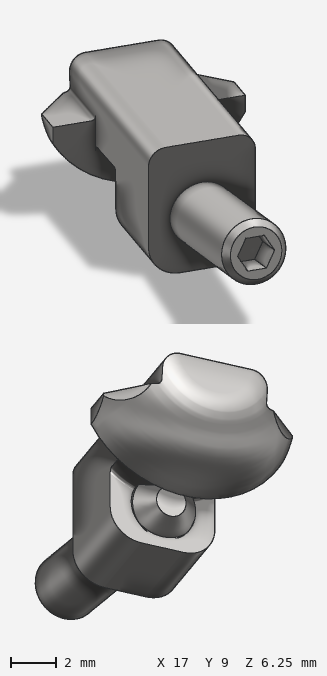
import cadquery as cq
import math


SHANK_LENGTH = 10.0
SHANK_WIDTH = 5.0
SHANK_HEIGHT = 6.25
TOP_EDGE_RADIUS = 0.8
BOTTOM_EDGE_RADIUS = 1.5

HEAD_THICKNESS = 3.4
HEAD_SPAN = 9.0
HEAD_RADIUS = 5.2
HEAD_DEPTH = 5.0
HEAD_AXIS_Z = HEAD_RADIUS - HEAD_DEPTH
NOSE_RADIUS = HEAD_RADIUS - HEAD_THICKNESS
WING_TOP_Z = -1.6
WING_CHAMFER = (HEAD_SPAN - SHANK_WIDTH) / 2
WING_ROOT_RADIUS = 0.2

NECK_FRONT_RADIUS = 3.95
NECK_REAR_RADIUS = 3.9
NECK_END_X = 5.9
NECK_CORNER_RADIUS = 0.18
GROOVE_OUTER_RADIUS = 2 * HEAD_RADIUS

SCREW_DIAMETER = 3.0
SCREW_LENGTH = 12.0
SCREW_TILT = 10.0
SCREW_EXIT_Z = -3.52
SCREW_TIP_REACH = 5.14
SCREW_TIP_CHAMFER = 0.8
SCREW_END_CHAMFER = 0.3
SOCKET_ACROSS_FLATS = 1.5
SOCKET_DEPTH = 1.5


def make_shank():
    """Full-height block with rounded lengthwise edges."""
    block = cq.Workplane("XY").box(
        SHANK_LENGTH, SHANK_WIDTH, SHANK_HEIGHT, centered=(False, True, False)
    )
    block = block.translate((0, 0, -SHANK_HEIGHT))
    block = block.edges("|X and >Z").fillet(TOP_EDGE_RADIUS)
    return block.edges("|X and <Z").fillet(BOTTOM_EDGE_RADIUS)


def revolve_about_head_axis(profile):
    """Revolve an XY profile, whose Y is a radius, about the head axis."""
    return profile.revolve(360, (0, 0), (1, 0)).translate((0, 0, HEAD_AXIS_Z))


def make_head_disc():
    """Disc whose front edge is a quarter round as deep as the disc is thick."""
    bend = HEAD_THICKNESS * math.sqrt(0.5)
    profile = (
        cq.Workplane("XY")
        .lineTo(0, NOSE_RADIUS)
        .threePointArc((HEAD_THICKNESS - bend, NOSE_RADIUS + bend), (HEAD_THICKNESS, HEAD_RADIUS))
        .lineTo(HEAD_THICKNESS, 0)
        .close()
    )
    return revolve_about_head_axis(profile)


def make_wings():
    """Plate across the head with its two front corners cut at 45 degrees."""
    plate = cq.Workplane("XY").box(
        HEAD_THICKNESS, HEAD_SPAN, SHANK_HEIGHT + WING_TOP_Z, centered=(False, True, False)
    )
    plate = plate.translate((0, 0, -SHANK_HEIGHT))
    return plate.edges("|Z and <X").chamfer(WING_CHAMFER)


def make_wing_roots():
    """Concave fillets where the wing tops meet the shank sides."""
    side = SHANK_WIDTH / 2
    half_strip = side + WING_ROOT_RADIUS
    strip = cq.Workplane("XY").box(
        HEAD_THICKNESS, 2 * half_strip, WING_ROOT_RADIUS, centered=(False, True, False)
    )
    strip = strip.translate((0, 0, WING_TOP_Z))
    rounds = (
        cq.Workplane("YZ")
        .pushPoints([(y, WING_TOP_Z + WING_ROOT_RADIUS) for y in (-half_strip, half_strip)])
        .circle(WING_ROOT_RADIUS)
        .extrude(HEAD_THICKNESS)
    )
    return strip.cut(rounds)


def make_neck_groove():
    """Ring-shaped groove with a conical floor and rounded inner corners."""
    groove = revolve_about_head_axis(
        cq.Workplane("XY")
        .moveTo(HEAD_THICKNESS, NECK_FRONT_RADIUS)
        .lineTo(NECK_END_X, NECK_REAR_RADIUS)
        .lineTo(NECK_END_X, GROOVE_OUTER_RADIUS)
        .lineTo(HEAD_THICKNESS, GROOVE_OUTER_RADIUS)
        .close()
    )
    rear_edge = cq.selectors.RadiusNthSelector(0)
    front_edge = cq.selectors.RadiusNthSelector(1)
    return groove.edges(rear_edge + front_edge).fillet(NECK_CORNER_RADIUS)


def place_screw(shape):
    """Move a shape from the screw's own axis (tip at the origin) to its tilted place."""
    return (
        shape.translate((-SCREW_TIP_REACH, 0, 0))
        .rotate((0, 0, 0), (0, 1, 0), -SCREW_TILT)
        .translate((SHANK_LENGTH, 0, SCREW_EXIT_Z))
    )


def make_screw_blank():
    """Tilted screw without its socket: the space it takes up in the nut."""
    radius = SCREW_DIAMETER / 2
    blank = cq.Workplane("YZ").circle(radius).extrude(SCREW_LENGTH)
    blank = blank.faces("<X").chamfer(SCREW_TIP_CHAMFER)
    blank = blank.faces(">X").chamfer(SCREW_END_CHAMFER)
    return place_screw(blank)


def make_socket():
    """Hexagon key socket in the rear end of the screw."""
    across_corners = SOCKET_ACROSS_FLATS / math.cos(math.pi / 6)
    socket = (
        cq.Workplane("YZ")
        .workplane(offset=SCREW_LENGTH)
        .polygon(6, across_corners)
        .extrude(-SOCKET_DEPTH)
    )
    return place_screw(socket)


def make_nut():
    """Hammer nut: shank and head, less the neck groove and the screw hole."""
    shank = make_shank()
    rear = shank.intersect(
        cq.Workplane("XY")
        .box(SHANK_LENGTH - HEAD_THICKNESS, SHANK_WIDTH, 2 * SHANK_HEIGHT, centered=(False, True, True))
        .translate((HEAD_THICKNESS, 0, 0))
    )
    head = shank.union(make_wings()).union(make_wing_roots()).intersect(make_head_disc())
    nut = head.union(rear).cut(make_neck_groove())
    return nut.cut(make_screw_blank())


nut = make_nut()
set_screw = make_screw_blank().cut(make_socket())

result = cq.Compound.makeCompound([nut.solids().val(), set_screw.solids().val()])